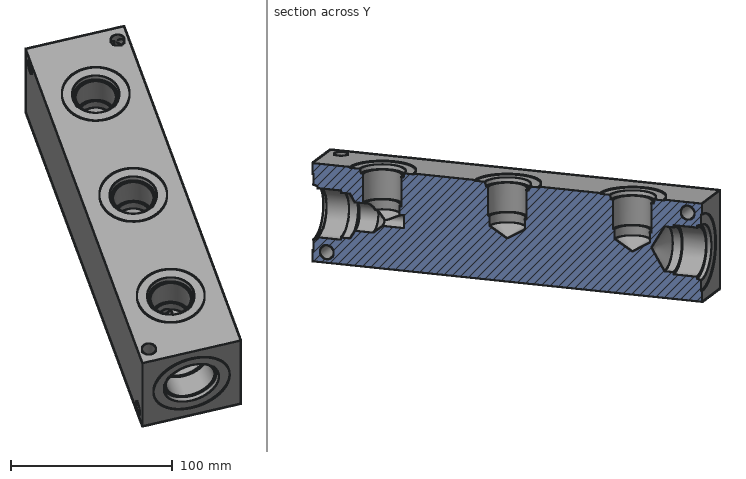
import cadquery as cq
import math

length = 257.2
side = 63.5
half_length = length / 2
half_side = side / 2

mount_diameter = 8.7
mount_end_margin = 9.5
mount_side_margin = 7.0
mount_x = half_length - mount_end_margin
mount_offset = half_side - mount_side_margin

port_pitch = 82.5
top_port_x = [-port_pitch, 0.0, port_pitch]

spotface_depth = 0.5
seat_depth = 3.3
drill_tip_angle = 118.0
tip_height_per_radius = 1 / math.tan(math.radians(drill_tip_angle / 2))

top_port = dict(
    spotface_diameter=42.0,
    mouth_diameter=29.3,
    seat_diameter=27.5,
    thread_diameter=25.0,
    drill_diameter=23.0,
    thread_depth=22.0,
    drill_depth=28.5,
)

end_port = dict(
    spotface_diameter=49.0,
    mouth_diameter=35.5,
    seat_diameter=33.7,
    thread_diameter=31.5,
    drill_diameter=28.5,
    thread_depth=18.8,
    drill_depth=24.7,
)

feed_diameter = 18.0
neck_diameter = 8.0
feed_end_x = port_pitch + 6.0
taper_length = 6.2
neck_end_x = port_pitch - 14.1


def port_cutter(
    spotface_diameter,
    mouth_diameter,
    seat_diameter,
    thread_diameter,
    drill_diameter,
    thread_depth,
    drill_depth,
):
    """Port cavity with its mouth at the origin, going down along -Z to a conical drill tip."""
    tip_depth = drill_depth + drill_diameter / 2 * tip_height_per_radius
    profile = [
        (0, 0),
        (spotface_diameter / 2, 0),
        (spotface_diameter / 2, -spotface_depth),
        (mouth_diameter / 2, -spotface_depth),
        (seat_diameter / 2, -seat_depth),
        (thread_diameter / 2, -seat_depth),
        (thread_diameter / 2, -thread_depth),
        (drill_diameter / 2, -thread_depth),
        (drill_diameter / 2, -drill_depth),
        (0, -tip_depth),
    ]
    return cq.Workplane("XZ").polyline(profile).close().revolve(360, (0, 0, 0), (0, 1, 0))


def feed_passage_cutter():
    """Stepped passage on the X axis, from the +X face to just past the last top port."""
    profile = [
        (half_length, 0),
        (half_length, feed_diameter / 2),
        (feed_end_x, feed_diameter / 2),
        (feed_end_x - taper_length, neck_diameter / 2),
        (neck_end_x, neck_diameter / 2),
        (neck_end_x, 0),
    ]
    return cq.Workplane("XY").polyline(profile).close().revolve(360, (0, 0, 0), (1, 0, 0))


result = cq.Workplane("XY").box(length, side, side)

top_cutter = port_cutter(**top_port)
for x in top_port_x:
    result = result.cut(top_cutter.translate((x, 0, half_side)))

left_end_cutter = port_cutter(**end_port).rotate((0, 0, 0), (0, 1, 0), -90).translate((-half_length, 0, 0))
result = result.cut(left_end_cutter)
result = result.cut(left_end_cutter.mirror("YZ"))

result = result.cut(feed_passage_cutter())

mount_corners = [(-mount_x, mount_offset), (mount_x, -mount_offset)]
for plane in ("XY", "XZ"):
    mount_holes = cq.Workplane(plane).pushPoints(mount_corners).circle(mount_diameter / 2)
    result = result.cut(mount_holes.extrude(side, both=True))